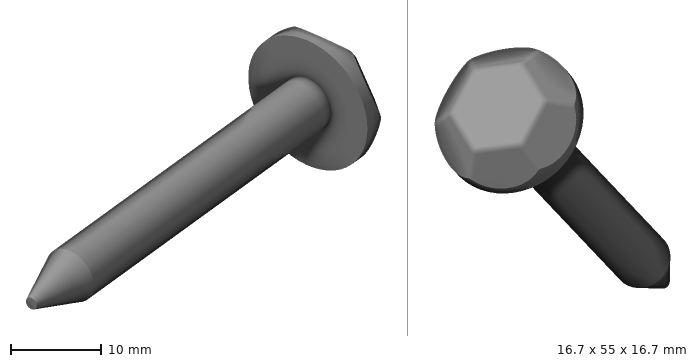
import cadquery as cq
import math

overall_length = 55.0

head_diameter = 16.7
head_height = 5.0
facet_count = 6
facet_angle = 45.0
top_across_flats = 9.7
facet_edge_radius = 1.0
rim_height = 1.67

shank_diameter = 6.6
point_length = 7.0
tip_diameter = 1.5

head_seat_y = 0.0
head_top_y = head_seat_y + head_height
tip_y = head_top_y - overall_length
point_start_y = tip_y + point_length


def facet_frustum():
    """Hexagonal frustum, corners at +X and -X, with rounded edges."""
    base_across_flats = top_across_flats + 2 * head_height / math.tan(math.radians(facet_angle))
    base_across_corners = base_across_flats / math.cos(math.pi / facet_count)
    frustum = (
        cq.Workplane("XZ", origin=(0, head_seat_y, 0))
        .polygon(facet_count, base_across_corners)
        .extrude(-head_height, taper=90 - facet_angle)
    )
    return frustum.edges("not <Y").fillet(facet_edge_radius)


def head():
    """Round disc with a rounded shoulder, trimmed by the faceted frustum."""
    shoulder_radius = head_height - rim_height
    rim_radius = head_diameter / 2
    shoulder_centre_x = rim_radius - shoulder_radius
    rim_y = head_seat_y + rim_height
    arc_reach = shoulder_radius * math.sqrt(0.5)
    disc = (
        cq.Workplane("XY")
        .moveTo(0, head_seat_y)
        .lineTo(rim_radius, head_seat_y)
        .lineTo(rim_radius, rim_y)
        .threePointArc((shoulder_centre_x + arc_reach, rim_y + arc_reach), (shoulder_centre_x, head_top_y))
        .lineTo(0, head_top_y)
        .close()
        .revolve(360, (0, 0, 0), (0, 1, 0))
    )
    return disc.intersect(facet_frustum())


def shank():
    """Round shank and its blunt point, turned about the Y axis."""
    shank_radius = shank_diameter / 2
    profile = [
        (0, head_seat_y),
        (shank_radius, head_seat_y),
        (shank_radius, point_start_y),
        (tip_diameter / 2, tip_y),
        (0, tip_y),
    ]
    return cq.Workplane("XY").polyline(profile).close().revolve(360, (0, 0, 0), (0, 1, 0))


result = head().union(shank())